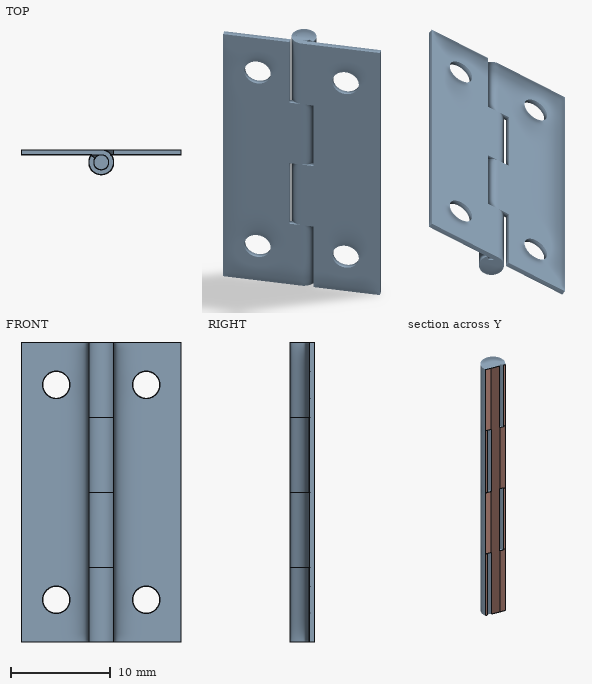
import cadquery as cq
import math

hinge_width = 16.0
hinge_height = 30.0
leaf_thickness = 0.5
pin_diameter = 1.5
knuckle_count = 4
hole_diameter = 2.7
hole_spacing_x = 9.0
hole_spacing_z = 21.5
curl_end_angle = 146.0

pin_radius = pin_diameter / 2
knuckle_radius = pin_radius + leaf_thickness
knuckle_height = hinge_height / knuckle_count
half_width = hinge_width / 2
hinge_bottom = -hinge_height / 2


def on_circle(radius, degrees):
    angle = math.radians(degrees)
    return (radius * math.cos(angle), radius * math.sin(angle))


def make_knuckle(level):
    """Strip tangent to the barrel, rolled clockwise around the pin, at one knuckle level."""
    curl_middle_angle = (90 + curl_end_angle - 360) / 2
    return (
        cq.Workplane("XY", origin=(0, 0, hinge_bottom + level * knuckle_height))
        .moveTo(-knuckle_radius, knuckle_radius)
        .lineTo(0, knuckle_radius)
        .threePointArc(
            on_circle(knuckle_radius, curl_middle_angle),
            on_circle(knuckle_radius, curl_end_angle),
        )
        .lineTo(*on_circle(pin_radius, curl_end_angle))
        .threePointArc(on_circle(pin_radius, curl_middle_angle), (0, pin_radius))
        .lineTo(-knuckle_radius, pin_radius)
        .close()
        .extrude(knuckle_height)
    )


def make_leaf(first_level):
    """Leaf on the -X side with a knuckle at every second level from first_level up."""
    plate_width = half_width - knuckle_radius
    leaf = cq.Workplane("XY").box(plate_width, leaf_thickness, hinge_height, centered=(False, False, True))
    leaf = leaf.translate((-half_width, pin_radius, 0))
    for level in range(first_level, knuckle_count, 2):
        leaf = leaf.union(make_knuckle(level))
    screw_holes = (
        cq.Workplane("XZ", origin=(0, knuckle_radius, 0))
        .pushPoints([(-hole_spacing_x / 2, side * hole_spacing_z / 2) for side in (-1, 1)])
        .circle(hole_diameter / 2)
        .extrude(leaf_thickness)
    )
    return leaf.cut(screw_holes)


def make_pin():
    return cq.Workplane("XY", origin=(0, 0, hinge_bottom)).circle(pin_radius).extrude(hinge_height)


left_leaf = make_leaf(first_level=1)
right_leaf = make_leaf(first_level=0).mirror("YZ")
pin = make_pin()

result = cq.Compound.makeCompound([left_leaf.val(), right_leaf.val(), pin.val()])